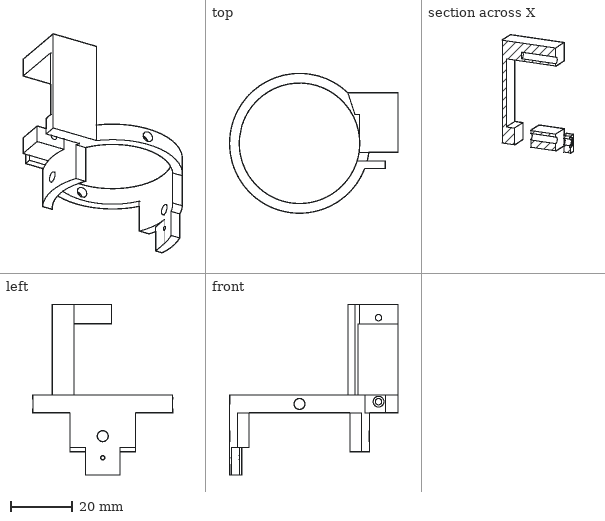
import cadquery as cq
import math

OUTER_RADIUS = 22.86
INNER_RADIUS = 19.64
RING_HEIGHT = 5.88
SIDE_HOLE_DIA = 3.5
SEAM_ANGLE = 135

LEG_HALF_WIDTH = 10.75
RIGHT_LEG_LENGTH = 12.68
LEFT_LEG_LENGTH = 11.28
TONGUE_HALF_WIDTH = 5.7
TONGUE_LENGTH = 20.32
LEG_HOLE_DEPTH = 7.57
PIN_HOLE_DIA = 1.3
PIN_HOLE_DEPTH = 14.6

BRACKET_X = 32.16
BRACKET_TOP = 35.43
COLUMN_BACK_Y = 16.55
COLUMN_FRONT_Y = 9.36
COLUMN_FRONT_X = 18.12
COLUMN_BACK_WALL = 1.65
CHANNEL_X = 19.05
ARM_FRONT_Y = -2.93
ARM_THICKNESS = 6.35
SLOT_BACK_Y = 12.0
SLOT_FRONT_Y = 6.2

CLAMP_GAP = 2.8
TAB_THICKNESS = 2.57
TAB_END_X = 28.05
SCREW_X = 25.8
SCREW_Z = 3.69
SCREW_HOLE_DIA = 2.09
SCREW_RECESS_DIA = 3.5
SCREW_RECESS_DEPTH = 0.3
ARM_HOLE_Z = 31.1
DRILL_RUN_IN = 1.0

TAB_BACK_Y = ARM_FRONT_Y - CLAMP_GAP
TAB_FRONT_Y = TAB_BACK_Y - TAB_THICKNESS
ARM_BOTTOM = BRACKET_TOP - ARM_THICKNESS
COLUMN_BACK_X = math.sqrt(OUTER_RADIUS**2 - COLUMN_BACK_Y**2)


def box(x_range, y_range, z_range):
    """Block spanning the given (low, high) range on each axis."""
    size = [high - low for low, high in (x_range, y_range, z_range)]
    corner = (x_range[0], y_range[0], z_range[0])
    return cq.Workplane("XY").box(*size, centered=False).translate(corner)


def tube(z_low, z_high):
    """Length of tube with the ring's inner and outer radii."""
    section = cq.Workplane("XY", origin=(0, 0, z_low)).circle(OUTER_RADIUS).circle(INNER_RADIUS)
    wall = section.extrude(z_high - z_low)
    return wall.rotate((0, 0, 0), (0, 0, 1), SEAM_ANGLE)


def bore(diameter, start, direction, length):
    """Cylinder used to drill a hole."""
    solid = cq.Solid.makeCylinder(diameter / 2, length, cq.Vector(*start), cq.Vector(*direction))
    return cq.Workplane(obj=solid)


def leg(side, half_width, length):
    """Piece of tube wall below the ring; side is +1 for +X and -1 for -X."""
    x_range = sorted((0, side * OUTER_RADIUS))
    sector = box(x_range, (-half_width, half_width), (-length, 0))
    return tube(-length, 0).intersect(sector)


def left_leg():
    """Wide leg with a longer, narrower tongue, flattened inside on its -Y half."""
    flat = box((-INNER_RADIUS, 0), (-TONGUE_HALF_WIDTH, 0), (-TONGUE_LENGTH, -LEFT_LEG_LENGTH))
    tongue = leg(-1, TONGUE_HALF_WIDTH, TONGUE_LENGTH).cut(flat)
    return leg(-1, LEG_HALF_WIDTH, LEFT_LEG_LENGTH).union(tongue)


def clamp_block():
    """Ring-height block outside the ring, split by a slot parallel to X."""
    ring_level = (0, RING_HEIGHT)
    block = box((0, BRACKET_X), (ARM_FRONT_Y, COLUMN_BACK_Y), ring_level)
    slot = box((0, BRACKET_X), (SLOT_FRONT_Y, SLOT_BACK_Y), ring_level)
    ring_disc = cq.Workplane("XY").circle(OUTER_RADIUS).extrude(RING_HEIGHT)
    return block.cut(slot).cut(ring_disc)


def clamp_tab():
    """Flat ear on the far side of the clamp gap."""
    ear = box((0, TAB_END_X), (TAB_FRONT_Y, TAB_BACK_Y), (0, RING_HEIGHT))
    bore_disc = cq.Workplane("XY").circle(INNER_RADIUS).extrude(RING_HEIGHT)
    return ear.cut(bore_disc)


def column():
    """Upright with a slanted side wall and a channel open to -Y and +X."""
    upright = (
        cq.Workplane("XY", origin=(0, 0, RING_HEIGHT))
        .moveTo(COLUMN_BACK_X, COLUMN_BACK_Y)
        .lineTo(BRACKET_X, COLUMN_BACK_Y)
        .lineTo(BRACKET_X, COLUMN_FRONT_Y)
        .lineTo(COLUMN_FRONT_X, COLUMN_FRONT_Y)
        .close()
        .extrude(BRACKET_TOP - RING_HEIGHT)
    )
    channel_back_y = COLUMN_BACK_Y - COLUMN_BACK_WALL
    channel = box(
        (CHANNEL_X, BRACKET_X), (COLUMN_FRONT_Y, channel_back_y), (RING_HEIGHT, ARM_BOTTOM)
    )
    return upright.cut(channel)


def arm():
    """Overhang reaching towards -Y from the top of the column."""
    return box((INNER_RADIUS, BRACKET_X), (ARM_FRONT_Y, COLUMN_FRONT_Y), (ARM_BOTTOM, BRACKET_TOP))


def drill_leg_and_ring(body):
    """Cross holes through the ring along Y and through the legs along X."""
    reach = OUTER_RADIUS + DRILL_RUN_IN
    ring_hole = bore(SIDE_HOLE_DIA, (0, -reach, RING_HEIGHT / 2), (0, 1, 0), 2 * reach)
    leg_hole = bore(SIDE_HOLE_DIA, (-reach, 0, -LEG_HOLE_DEPTH), (1, 0, 0), 2 * reach)
    pin_hole = bore(PIN_HOLE_DIA, (-reach, 0, -PIN_HOLE_DEPTH), (1, 0, 0), reach)
    return body.cut(ring_hole).cut(leg_hole).cut(pin_hole)


def drill_bracket(body):
    """Clamp screw hole with its shallow recess in the tab, and the hole in the arm."""
    tab_start = (SCREW_X, TAB_FRONT_Y, SCREW_Z)
    screw_hole = bore(SCREW_HOLE_DIA, tab_start, (0, 1, 0), SLOT_FRONT_Y - TAB_FRONT_Y)
    screw_recess = bore(SCREW_RECESS_DIA, tab_start, (0, 1, 0), SCREW_RECESS_DEPTH)
    arm_start = (SCREW_X, ARM_FRONT_Y, ARM_HOLE_Z)
    arm_hole = bore(SCREW_HOLE_DIA, arm_start, (0, 1, 0), COLUMN_FRONT_Y - ARM_FRONT_Y)
    return body.cut(screw_hole).cut(screw_recess).cut(arm_hole)


clamp_gap = box((0, BRACKET_X), (TAB_BACK_Y, ARM_FRONT_Y), (0, RING_HEIGHT))
ring = tube(0, RING_HEIGHT).cut(clamp_gap)

body = (
    ring.union(leg(1, LEG_HALF_WIDTH, RIGHT_LEG_LENGTH))
    .union(left_leg())
    .union(clamp_block())
    .union(clamp_tab())
    .union(column())
    .union(arm())
)
result = drill_bracket(drill_leg_and_ring(body))